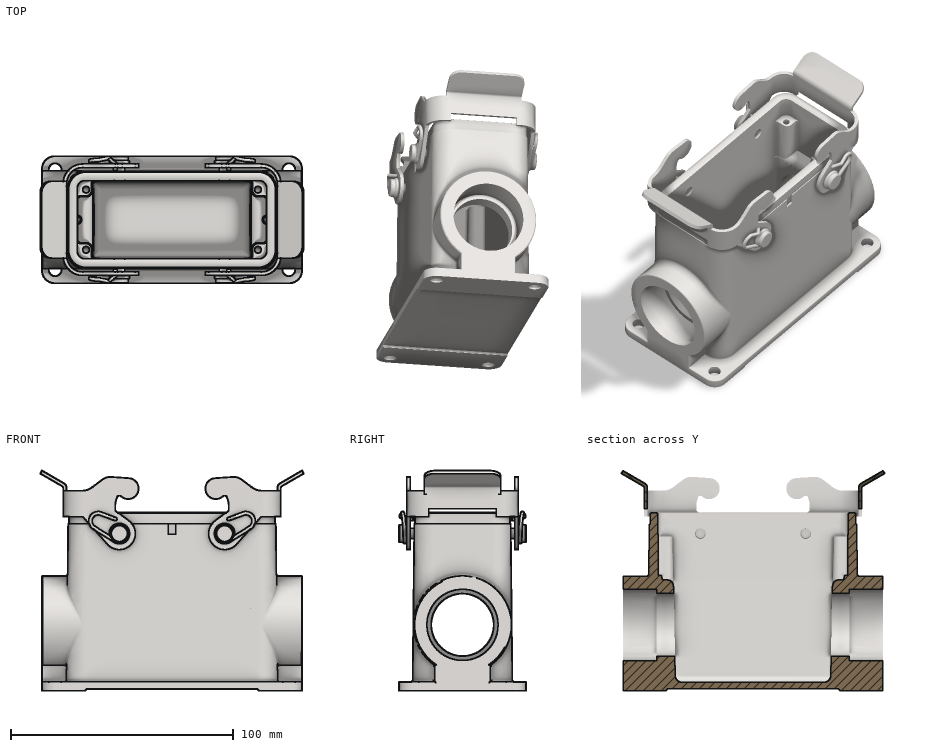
import cadquery as cq
import math


BASE_LENGTH = 117.0
BASE_WIDTH = 57.2
BASE_HEIGHT = 4.1
BASE_CORNER = 6.0
BASE_EDGE_FILLET = 0.5
MOUNT_HOLE = 5.6
MOUNT_PITCH_X = 105.0
MOUNT_PITCH_Y = 45.0
RELIEF_LENGTH = 78.0
RELIEF_DEPTH = 0.8
RELIEF_CHAMFER = 0.7

STEP_Z = 75.1
BODY_LENGTH = 93.4
BODY_WIDTH = 43.4
BODY_CORNER = 7.7
BODY_DRAFT = 0.6
ROOT_FILLET = 0.8
RIM_INSET = 0.35
RIM_Z = 79.75
RIM_CROWN = 0.45
RIM_WALL = 3.75

FLOOR_Z = 4.0
FLOOR_FILLET = 3.0
UPPER_CAVITY_DRAFT = 0.5
LOWER_CAVITY_DRAFT = 1.0
LOWER_CAVITY_LENGTH = 71.2
LOWER_CAVITY_CORNER = 1.5
SHELF_Z = 50.0
SHELF_FILLET = 3.0
STUD_BASE = 4.0
STUD_TOP = 3.0
STUD_HEIGHT = 2.0

POST_TOP_Z = 69.3
POST_FACE_X = 36.2
POST_FACE_Y = 10.7
POST_CORNER = 2.4
POST_DRAFT = 1.2
POST_WALL_FILLET = 1.2
POST_HOLE = 3.0
POST_HOLE_DEPTH = 10.0
POST_HOLE_X = 38.6
POST_HOLE_Y = 13.5

ENTRY_Z = 29.7
ENTRY_DIAMETER = 44.0
ENTRY_BORE = 32.0
ENTRY_BORE_DEPTH = 15.2
ENTRY_THROAT = 28.0
ENTRY_EDGE_FILLET = 0.5
PEDESTAL_WIDTH = 24.8

KEY_WIDTH = 3.4
KEY_HEIGHT = 4.8
KEY_DEPTH = 0.8

SHEET = 1.6
STRAP_X = 48.9
STRAP_Y = 25.05
STRAP_CORNER = 8.8
STRAP_BOTTOM_Z = 78.3
STRAP_TOP_Z = 90.0
STRAP_NOTCH_WIDTH = 30.2
STRAP_NOTCH_HEIGHT = 3.5
TAB_WIDTH = 34.4
TAB_ANGLE = 30.0
TAB_BEND_Z = 91.22
TAB_BEND_RADIUS = 0.8
TAB_CORNER = 5.0
TAB_TIP_X = 59.26
PIVOT_X = 23.65
PIVOT_Z = 70.7
PIVOT_PAD_RADIUS = 7.2
NOSE_X = 19.7
NOSE_Z = 90.9
NOSE_RADIUS = 4.75
NOSE_TOP_ANGLE = 87.0
NOSE_FRONT_ANGLE = -20.0
NOSE_UNDERSIDE_ANGLE = -125.0
SHOULDER_FOOT = (-35.9, 91.5)
SHOULDER_FOOT_MIDDLE = (-37.7, 90.5)
SHOULDER_TOP = (-31.0, 95.2)
SHOULDER_CREST = (-27.5, 96.2)
SHOULDER_CREST_MIDDLE = (-29.4, 95.95)
HOOK_ROOF = (-24.4, 87.5)
HOOK_ROOF_MIDDLE = (-23.3, 87.6)
HOOK_BACK = (-25.45, 83.0)
HOOK_BACK_MIDDLE = (-25.2, 85.2)
HOOK_THROAT = (-25.45, 81.0)
PIN_DIAMETER = 4.8
PIN_CHAMFER = 0.4
PIN_TIP_Y = 18.4
HEAD_DIAMETER = 8.0
HEAD_EDGE = 0.4
HEAD_Y = BASE_WIDTH / 2

WIRE = 1.6
COIL_RADIUS = 3.8
SPRING_END_Y = 22.2
SPRING_LOOP = ((-34.7, 26.1, 73.1), (-36.6, 26.4, 77.0), (-32.5, 26.9, 79.8))
SPRING_CREST = (-28.6, 27.7, 78.4)
SPRING_ELBOW = (-25.5, 25.2, 77.2)

SELECT_MARGIN = 0.1

ENDS = (-1, 1)
SIDES = (-1, 1)
RIM_LENGTH = BODY_LENGTH - 2 * RIM_INSET
RIM_WIDTH = BODY_WIDTH - 2 * RIM_INSET
RIM_CORNER = BODY_CORNER - RIM_INSET
CAVITY_LENGTH = RIM_LENGTH - 2 * RIM_WALL
CAVITY_WIDTH = RIM_WIDTH - 2 * RIM_WALL
CAVITY_CORNER = RIM_CORNER - RIM_WALL
ENTRY_FACE_X = BASE_LENGTH / 2


def rounded_block(length, width, corner, z0, z1):
    block = cq.Workplane("XY").box(length, width, z1 - z0, centered=(True, True, False))
    return block.edges("|Z").fillet(corner).translate((0, 0, z0))


def drafted_block(length, width, corner, draft, top_z, bottom_z):
    """Rounded block sized at its top face; a positive draft widens it downwards."""
    outline = cq.Sketch().rect(length, width).vertices().fillet(corner)
    depth = top_z - bottom_z
    block = cq.Workplane("XY").placeSketch(outline).extrude(depth, taper=-draft)
    return block.rotate((0, 0, 0), (1, 0, 0), 180).translate((0, 0, top_z))


def tangent_point(start, center, radius, turn):
    """Point where the line from start touches a circle; turn is +1 or -1 for its two sides."""
    dx = center[0] - start[0]
    dz = center[1] - start[1]
    reach = math.hypot(dx, dz)
    angle = math.atan2(dz, dx) + turn * math.asin(radius / reach)
    length = math.sqrt(reach**2 - radius**2)
    return start[0] + length * math.cos(angle), start[1] + length * math.sin(angle)


def cylinder_along_y(diameter, y0, y1, x, z):
    return cq.Workplane("XZ", origin=(x, y0, z)).circle(diameter / 2).extrude(y0 - y1)


def base_flange():
    base = rounded_block(BASE_LENGTH, BASE_WIDTH, BASE_CORNER, 0, BASE_HEIGHT)
    base = base.faces(">Z").edges().fillet(BASE_EDGE_FILLET)
    relief = cq.Workplane("XY").box(RELIEF_LENGTH, BASE_WIDTH, RELIEF_DEPTH, centered=(True, True, False))
    return base.cut(relief.faces(">Z").edges("|Y").chamfer(RELIEF_CHAMFER))


def mount_holes():
    holes = cq.Workplane("XY").rect(MOUNT_PITCH_X, MOUNT_PITCH_Y, forConstruction=True).vertices()
    return holes.circle(MOUNT_HOLE / 2).extrude(BASE_HEIGHT)


def cable_entry():
    """Entry boss towards +X, standing on its pedestal."""
    boss = cq.Workplane("YZ").center(0, ENTRY_Z).circle(ENTRY_DIAMETER / 2).extrude(ENTRY_FACE_X)
    pedestal_length = ENTRY_FACE_X - BODY_LENGTH / 2 + BODY_CORNER
    pedestal = cq.Workplane("XY", origin=(ENTRY_FACE_X - pedestal_length / 2, 0, ENTRY_Z / 2))
    boss = boss.union(pedestal.box(pedestal_length, PEDESTAL_WIDTH, ENTRY_Z))
    return boss.faces(">X").edges("not <Z").fillet(ENTRY_EDGE_FILLET)


def entry_bore():
    bore_floor = ENTRY_FACE_X - ENTRY_BORE_DEPTH
    throat = cq.Workplane("YZ").center(0, ENTRY_Z).circle(ENTRY_THROAT / 2).extrude(ENTRY_FACE_X)
    bore = cq.Workplane("YZ", origin=(bore_floor, 0, ENTRY_Z))
    return throat.union(bore.circle(ENTRY_BORE / 2).extrude(ENTRY_BORE_DEPTH))


def rim_crown():
    """Shallow arched bead along the top of the rim."""
    half_wall = RIM_WALL / 2
    x = RIM_LENGTH / 2 - half_wall
    y = RIM_WIDTH / 2 - half_wall
    r = RIM_CORNER - half_wall
    path = (
        cq.Workplane("XY", origin=(0, 0, RIM_Z))
        .moveTo(0, -y)
        .lineTo(x - r, -y)
        .tangentArcPoint((x, r - y), relative=False)
        .lineTo(x, y - r)
        .tangentArcPoint((x - r, y), relative=False)
        .lineTo(r - x, y)
        .tangentArcPoint((-x, y - r), relative=False)
        .lineTo(-x, r - y)
        .tangentArcPoint((r - x, -y), relative=False)
        .close()
    )
    section = cq.Workplane("YZ", origin=(0, -y, RIM_Z)).moveTo(-half_wall, 0)
    return section.threePointArc((0, RIM_CROWN), (half_wall, 0)).close().sweep(path)


def outer_roots():
    """Selector for the edges where body, entries and base flange meet."""
    x = ENTRY_FACE_X - ENTRY_EDGE_FILLET - SELECT_MARGIN
    y = BODY_WIDTH / 2 + ROOT_FILLET
    low = (-x, -y, BASE_HEIGHT - SELECT_MARGIN)
    high = (x, y, STEP_Z - SELECT_MARGIN)
    return cq.selectors.BoxSelector(low, high, boundingbox=True)


def shell():
    """Outside of the housing, still solid."""
    body = drafted_block(BODY_LENGTH, BODY_WIDTH, BODY_CORNER, BODY_DRAFT, STEP_Z, BASE_HEIGHT)
    for end in ENDS:
        entry = cable_entry()
        body = body.union(entry if end > 0 else entry.mirror("YZ"))
    solid = base_flange().union(body)
    solid = solid.edges(outer_roots()).fillet(ROOT_FILLET)
    rim = rounded_block(RIM_LENGTH, RIM_WIDTH, RIM_CORNER, STEP_Z, RIM_Z)
    return solid.union(rim).union(rim_crown())


def post():
    """Insert screw post in the +X +Y corner, merging into both cavity walls."""
    x_size = BODY_LENGTH / 2 - POST_FACE_X
    y_size = BODY_WIDTH / 2 - POST_FACE_Y
    block = drafted_block(x_size, y_size, POST_CORNER, POST_DRAFT, POST_TOP_Z, FLOOR_Z)
    return block.translate((POST_FACE_X + x_size / 2, POST_FACE_Y + y_size / 2, 0))


def post_roots():
    """Selector for the upright edges where the posts leave the cavity walls."""
    x = CAVITY_LENGTH / 2
    y = CAVITY_WIDTH / 2
    inner_x = x - POST_WALL_FILLET
    inner_y = y - POST_WALL_FILLET
    low_z = SHELF_Z + POST_WALL_FILLET
    away_from_walls = cq.selectors.BoxSelector((-inner_x, -inner_y, low_z), (inner_x, inner_y, POST_TOP_Z))
    upright = cq.selectors.BoxSelector((-x - 1, -y - 1, low_z), (x + 1, y + 1, POST_TOP_Z - SELECT_MARGIN))
    return upright - away_from_walls


def post_hole():
    """Blind drilled hole with a conical tip."""
    radius = POST_HOLE / 2
    outline = cq.Workplane("XZ").polyline(
        [(0, 0), (radius, 0), (radius, -POST_HOLE_DEPTH), (0, -POST_HOLE_DEPTH - radius)]
    )
    hole = outline.close().revolve(360, (0, 0), (0, 1))
    return hole.translate((POST_HOLE_X, POST_HOLE_Y, POST_TOP_Z))


def shelf_rounding(end, width):
    """Sliver that rounds the inner edge of a shelf when it is removed with the cavity."""
    center_x = LOWER_CAVITY_LENGTH / 2 + SHELF_FILLET
    corner = cq.Workplane("XY").box(2 * SHELF_FILLET, width, SHELF_FILLET)
    corner = corner.translate((center_x - SHELF_FILLET, 0, SHELF_Z - SHELF_FILLET / 2))
    rounding = cylinder_along_y(2 * SHELF_FILLET, -width, width, center_x, SHELF_Z - SHELF_FILLET)
    sliver = corner.cut(rounding)
    return sliver if end > 0 else sliver.mirror("YZ")


def cavity():
    """Open cavity above the entry shelves, stepping in to the floor between them."""
    narrowing = 2 * (STEP_Z - SHELF_Z) * math.tan(math.radians(UPPER_CAVITY_DRAFT))
    lower_width = CAVITY_WIDTH - narrowing
    upper = drafted_block(
        CAVITY_LENGTH, CAVITY_WIDTH, CAVITY_CORNER, -UPPER_CAVITY_DRAFT, STEP_Z, SHELF_Z
    )
    lower = drafted_block(
        LOWER_CAVITY_LENGTH, lower_width, LOWER_CAVITY_CORNER, -LOWER_CAVITY_DRAFT, SHELF_Z, FLOOR_Z
    )
    lower = lower.faces("<Z").edges().fillet(FLOOR_FILLET)
    mouth = rounded_block(CAVITY_LENGTH, CAVITY_WIDTH, CAVITY_CORNER, STEP_Z, RIM_Z + RIM_CROWN)
    room = upper.union(lower).union(mouth)
    for end in ENDS:
        room = room.union(shelf_rounding(end, lower_width))
    return room


def shelf_stud(end):
    """Small tapered stud on a shelf, half sunk in the end wall."""
    outline = cq.Workplane("XZ").polyline(
        [(0, 0), (STUD_BASE / 2, 0), (STUD_TOP / 2, STUD_HEIGHT), (0, STUD_HEIGHT)]
    )
    stud = outline.close().revolve(360, (0, 0), (0, 1))
    return stud.translate((end * CAVITY_LENGTH / 2, 0, SHELF_Z))


def key_slot(side):
    slot = cq.Workplane("XY").box(KEY_WIDTH, 2 * KEY_DEPTH, KEY_HEIGHT)
    return slot.translate((0, side * BODY_WIDTH / 2, STEP_Z - KEY_HEIGHT / 2))


def pin_bore(x, side):
    """Pivot pin hole through one side wall."""
    bore = cylinder_along_y(PIN_DIAMETER, 0, STRAP_Y, x, PIVOT_Z)
    return bore if side > 0 else bore.mirror("XZ")


def make_housing():
    solid = shell().cut(mount_holes())
    room = cavity()
    posts = post()
    holes = post_hole()
    for mirror_plane in ("YZ", "XZ"):
        posts = posts.union(posts.mirror(mirror_plane))
        holes = holes.union(holes.mirror(mirror_plane))
    room = room.cut(posts)
    room = room.edges(post_roots()).fillet(POST_WALL_FILLET)
    solid = solid.cut(room).cut(holes)
    for end in ENDS:
        bore = entry_bore()
        solid = solid.cut(bore if end > 0 else bore.mirror("YZ"))
        solid = solid.union(shelf_stud(end))
    for side in SIDES:
        solid = solid.cut(key_slot(side))
        for x in (-PIVOT_X, PIVOT_X):
            solid = solid.cut(pin_bore(x, side))
    return solid


def strap():
    """Sheet band around the end of the housing, relieved below its middle."""
    height = STRAP_TOP_Z - STRAP_BOTTOM_Z
    length = 2 * STRAP_X
    outer = rounded_block(length, 2 * STRAP_Y, STRAP_CORNER, STRAP_BOTTOM_Z, STRAP_TOP_Z)
    inner = rounded_block(
        length - 2 * SHEET, 2 * (STRAP_Y - SHEET), STRAP_CORNER - SHEET, STRAP_BOTTOM_Z, STRAP_TOP_Z
    )
    end_x = STRAP_CORNER - STRAP_X
    keep = cq.Workplane("XY").box(2 * STRAP_CORNER, length, 2 * height)
    band = outer.cut(inner).intersect(keep.translate((end_x - STRAP_CORNER, 0, STRAP_BOTTOM_Z)))
    notch = cq.Workplane("XY").box(4 * SHEET, STRAP_NOTCH_WIDTH, 2 * STRAP_NOTCH_HEIGHT)
    return band.cut(notch.translate((-STRAP_X, 0, STRAP_BOTTOM_Z)))


def thumb_tab():
    """Tab rising from the band and bent outwards."""
    slope = math.radians(TAB_ANGLE)
    along = (-math.cos(slope), math.sin(slope))
    normal = (math.sin(slope), math.cos(slope))
    bend_x = -STRAP_X - TAB_BEND_RADIUS
    outer_radius = TAB_BEND_RADIUS + SHEET

    def bend_point(radius, angle):
        return bend_x + radius * math.cos(angle), TAB_BEND_Z + radius * math.sin(angle)

    bend_angle = math.pi / 2 - slope
    inner_end = bend_point(TAB_BEND_RADIUS, bend_angle)
    outer_end = bend_point(outer_radius, bend_angle)
    length = (TAB_TIP_X + inner_end[0]) / math.cos(slope)
    inner_tip = (inner_end[0] + length * along[0], inner_end[1] + length * along[1])
    outer_tip = (inner_tip[0] + SHEET * normal[0], inner_tip[1] + SHEET * normal[1])
    tab = (
        cq.Workplane("XZ", origin=(0, TAB_WIDTH / 2, 0))
        .moveTo(-STRAP_X, STRAP_TOP_Z - SHEET)
        .lineTo(-STRAP_X, TAB_BEND_Z)
        .threePointArc(bend_point(TAB_BEND_RADIUS, bend_angle / 2), inner_end)
        .lineTo(*inner_tip)
        .lineTo(*outer_tip)
        .lineTo(*outer_end)
        .threePointArc(bend_point(outer_radius, bend_angle / 2), (SHEET - STRAP_X, TAB_BEND_Z))
        .lineTo(SHEET - STRAP_X, STRAP_TOP_Z - SHEET)
        .close()
        .extrude(TAB_WIDTH)
    )
    tip_direction = cq.Vector(normal[0], 0, normal[1])
    return tab.edges(cq.selectors.ParallelDirSelector(tip_direction)).edges(">Z").fillet(TAB_CORNER)


def hook_plate():
    """Side plate on the +Y side: pivot pad, shoulder and hooked nose."""
    root_x = STRAP_CORNER - STRAP_X
    pivot = (-PIVOT_X, PIVOT_Z)
    pad_front = tangent_point(HOOK_THROAT, pivot, PIVOT_PAD_RADIUS, 1)
    pad_back = tangent_point((root_x, STRAP_BOTTOM_Z), pivot, PIVOT_PAD_RADIUS, -1)

    def nose_point(degrees):
        angle = math.radians(degrees)
        return NOSE_RADIUS * math.cos(angle) - NOSE_X, NOSE_RADIUS * math.sin(angle) + NOSE_Z

    return (
        cq.Workplane("XZ", origin=(0, STRAP_Y, 0))
        .moveTo(root_x, STRAP_BOTTOM_Z)
        .lineTo(root_x, STRAP_TOP_Z)
        .threePointArc(SHOULDER_FOOT_MIDDLE, SHOULDER_FOOT)
        .lineTo(*SHOULDER_TOP)
        .threePointArc(SHOULDER_CREST_MIDDLE, SHOULDER_CREST)
        .lineTo(*nose_point(NOSE_TOP_ANGLE))
        .threePointArc(nose_point(NOSE_FRONT_ANGLE), nose_point(NOSE_UNDERSIDE_ANGLE))
        .threePointArc(HOOK_ROOF_MIDDLE, HOOK_ROOF)
        .threePointArc(HOOK_BACK_MIDDLE, HOOK_BACK)
        .lineTo(*HOOK_THROAT)
        .lineTo(*pad_front)
        .threePointArc((-PIVOT_X, PIVOT_Z - PIVOT_PAD_RADIUS), pad_back)
        .close()
        .extrude(SHEET)
    )


def pivot_pin():
    """Pin with a round head outside the side plate, on the +Y side."""
    head = cylinder_along_y(HEAD_DIAMETER, STRAP_Y, HEAD_Y, -PIVOT_X, PIVOT_Z)
    head = head.faces(">Y").edges().chamfer(HEAD_EDGE)
    shank = cylinder_along_y(PIN_DIAMETER, PIN_TIP_Y, STRAP_Y, -PIVOT_X, PIVOT_Z)
    return head.union(shank.faces("<Y").edges().chamfer(PIN_CHAMFER))


def spring():
    """Wire spring on the +Y side: coil round the pin head, loop, and an end through the plate."""
    coil_y = STRAP_Y + WIRE / 2
    coil_center = cq.Vector(-PIVOT_X, coil_y, PIVOT_Z)
    wire = cq.Workplane("XY").add(
        cq.Solid.makeTorus(COIL_RADIUS, WIRE / 2, coil_center, cq.Vector(0, 1, 0))
    )
    loop_start, loop_middle, loop_end = [cq.Vector(*point) for point in SPRING_LOOP]
    crest = cq.Vector(*SPRING_CREST)
    elbow = cq.Vector(*SPRING_ELBOW)
    stub_end = cq.Vector(elbow.x, SPRING_END_Y, elbow.z)
    leave_x, leave_z = tangent_point((loop_start.x, loop_start.z), (-PIVOT_X, PIVOT_Z), COIL_RADIUS, -1)
    leave = cq.Vector(leave_x, coil_y, leave_z)

    for start, end in ((leave, loop_start), (loop_end, crest), (crest, elbow), (elbow, stub_end)):
        run = end - start
        rod = cq.Solid.makeCylinder(WIRE / 2, run.Length, start, run)
        wire = wire.union(cq.Workplane("XY").add(rod))
    loop = cq.Edge.makeThreePointArc(loop_start, loop_middle, loop_end)
    section_plane = cq.Plane(origin=loop_start, normal=loop.tangentAt(0))
    section = cq.Workplane(section_plane).circle(WIRE / 2)
    wire = wire.union(section.sweep(cq.Workplane("XY").add(loop)))
    for joint in (loop_start, loop_end, crest, elbow):
        wire = wire.union(cq.Workplane("XY").sphere(WIRE / 2).translate(joint))
    return wire


def make_lever():
    half = hook_plate().union(pivot_pin()).union(spring())
    return strap().union(thumb_tab()).union(half).union(half.mirror("XZ"))


housing = make_housing()
left_lever = make_lever()
levers = [left_lever.rotate((0, 0, 0), (0, 0, 1), turn) for turn in (0, 180)]

result = cq.Compound.makeCompound([housing.val(), *[lever.val() for lever in levers]])